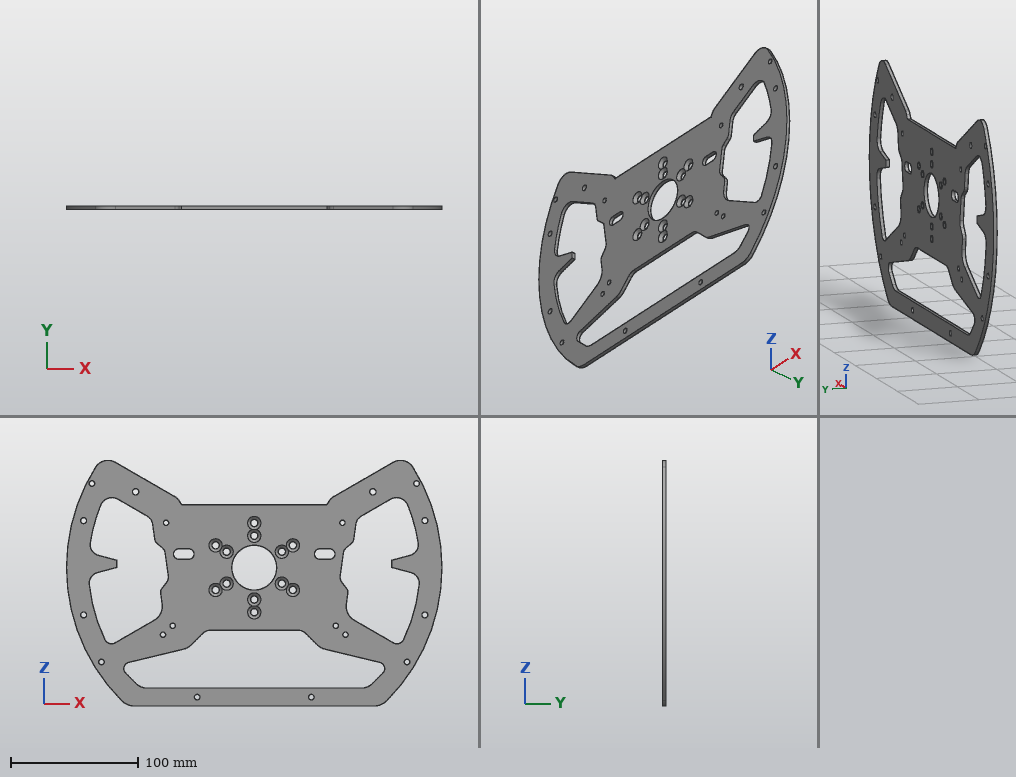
import cadquery as cq
import math

thickness = 3.0
rim_outer_radius = 147.4
rim_inner_radius = 130.0

base_z = -108.73
top_z = 49.5
horn_slope = math.tan(math.radians(30))
horn_line_at_axis = 19.8
horn_foot_x = 60.2
horn_foot = (horn_foot_x, horn_line_at_axis + horn_slope * horn_foot_x)
top_edge_half_length = 57.0
horn_tip_radius = 11.5
horn_foot_radius = 9.0
base_corner_radius = 15.0

window_top_at_axis = -8.1
window_bottom_at_axis = 4.1
window_tip_radius = 9.5
window_toe_radius = 5.7
window_inner_corners = [
    (80.4, 38.3, 8.5),
    (77.9, 20.3, 5.5),
    (70.4, 14.0, 5.0),
    (67.1, -9.3, 7.0),
    (73.8, -18.0, 5.0),
    (71.2, -37.0, 12.5),
]
tab_tip_x = 107.7
tab_centre_z = 3.0
tab_tip_half_width = 2.85
tab_taper = math.tan(math.radians(15))
tab_root_radius = 8.5

lower_window_corners = [
    (37.9, -49.2, 8.5),
    (52.0, -63.2, 12.5),
    (107.1, -76.5, 5.0),
    (89.2, -94.4, 12.0),
]

hub_hole_diameter = 35.0
bolt_circle_diameters = (50.0, 70.0)
bolts_per_circle = 6
bolt_hole_diameter = 5.5
countersink_diameter = 10.4
countersink_angle = 90.0

slot_centre = (55.3, 10.7)
slot_length = 16.0
slot_width = 8.0
mounting_holes = {
    4.0: [(69.2, 35.2), (64.0, -45.6), (71.6, -52.6)],
    4.2: [(127.4, 66.0), (119.9, -74.0), (44.8, -101.6)],
    4.5: [(133.9, 36.9), (133.9, -37.1)],
    4.8: [(93.1, 59.5)],
}


def front_plane():
    return cq.Workplane("XZ")


def extrude_back(profile):
    return profile.extrude(-thickness)


def mirror_point(point):
    return (-point[0], point[1])


def both_sides(points):
    return points + [mirror_point(point) for point in points]


def line_on_circle(slope, intercept, radius):
    """Point with positive X where z = slope * x + intercept meets a circle about the origin."""
    a = 1 + slope**2
    b = slope * intercept
    x = (-b + math.sqrt(b**2 - a * (intercept**2 - radius**2))) / a
    return (x, slope * x + intercept)


def arc_middle(start, end, radius):
    """Middle of the short arc about the origin between two of its points."""
    angle = (math.atan2(start[1], start[0]) + math.atan2(end[1], end[0])) / 2
    return (radius * math.cos(angle), radius * math.sin(angle))


def round_corner(body, corner, radius):
    """Round the edge through the thickness that stands at the given X, Z corner."""
    at_corner = cq.selectors.NearestToPointSelector((corner[0], thickness / 2, corner[1]))
    edge = body.edges("|Y").edges(at_corner)
    return edge.fillet(radius)


def make_plate():
    horn_tip = line_on_circle(horn_slope, horn_line_at_axis, rim_outer_radius)
    base_corner = (math.sqrt(rim_outer_radius**2 - base_z**2), base_z)
    rim_middle = arc_middle(base_corner, horn_tip, rim_outer_radius)
    top_corner = (top_edge_half_length, top_z)
    plate = extrude_back(
        front_plane()
        .moveTo(*base_corner)
        .threePointArc(rim_middle, horn_tip)
        .lineTo(*horn_foot)
        .lineTo(*top_corner)
        .lineTo(*mirror_point(top_corner))
        .lineTo(*mirror_point(horn_foot))
        .lineTo(*mirror_point(horn_tip))
        .threePointArc(mirror_point(rim_middle), mirror_point(base_corner))
        .close()
    )
    roundings = [
        (horn_tip, horn_tip_radius),
        (horn_foot, horn_foot_radius),
        (base_corner, base_corner_radius),
    ]
    for corner, radius in roundings:
        for point in both_sides([corner]):
            plate = round_corner(plate, point, radius)
    return plate


def make_side_window():
    """Cutter for the window on the +X side."""
    tip = line_on_circle(horn_slope, window_top_at_axis, rim_inner_radius)
    toe = line_on_circle(-horn_slope, window_bottom_at_axis, rim_inner_radius)
    tab_rise = tab_tip_half_width - tab_taper * tab_tip_x
    root_above = line_on_circle(tab_taper, tab_centre_z + tab_rise, rim_inner_radius)
    root_below = line_on_circle(-tab_taper, tab_centre_z - tab_rise, rim_inner_radius)
    inner_points = [(x, z) for x, z, _ in window_inner_corners]
    window = extrude_back(
        front_plane()
        .polyline([tip, *inner_points, toe])
        .threePointArc(arc_middle(toe, root_below, rim_inner_radius), root_below)
        .lineTo(tab_tip_x, tab_centre_z - tab_tip_half_width)
        .lineTo(tab_tip_x, tab_centre_z + tab_tip_half_width)
        .lineTo(*root_above)
        .threePointArc(arc_middle(root_above, tip, rim_inner_radius), tip)
        .close()
    )
    window = round_corner(window, tip, window_tip_radius)
    window = round_corner(window, toe, window_toe_radius)
    for root in (root_above, root_below):
        window = round_corner(window, root, tab_root_radius)
    for x, z, radius in window_inner_corners:
        window = round_corner(window, (x, z), radius)
    return window


def make_lower_window():
    right_points = [(x, z) for x, z, _ in lower_window_corners]
    left_points = [mirror_point(point) for point in reversed(right_points)]
    window = extrude_back(front_plane().polyline(right_points + left_points).close())
    for x, z, radius in lower_window_corners:
        for corner in both_sides([(x, z)]):
            window = round_corner(window, corner, radius)
    return window


def make_slots():
    centres = both_sides([slot_centre])
    return extrude_back(front_plane().pushPoints(centres).slot2D(slot_length, slot_width))


def cut_hub(plate):
    hub_hole = extrude_back(front_plane().circle(hub_hole_diameter / 2))
    plate = plate.cut(hub_hole)
    for circle_diameter in bolt_circle_diameters:
        plate = (
            plate.copyWorkplane(front_plane())
            .polarArray(circle_diameter / 2, 90, 360, bolts_per_circle)
            .cskHole(bolt_hole_diameter, countersink_diameter, countersink_angle)
        )
    return plate


def cut_mounting_holes(plate):
    for diameter, centres in mounting_holes.items():
        holes = extrude_back(front_plane().pushPoints(both_sides(centres)).circle(diameter / 2))
        plate = plate.cut(holes)
    return plate


side_window = make_side_window()
plate = make_plate()
plate = plate.cut(side_window).cut(side_window.mirror("YZ"))
plate = plate.cut(make_lower_window()).cut(make_slots())
plate = cut_hub(plate)
result = cut_mounting_holes(plate)